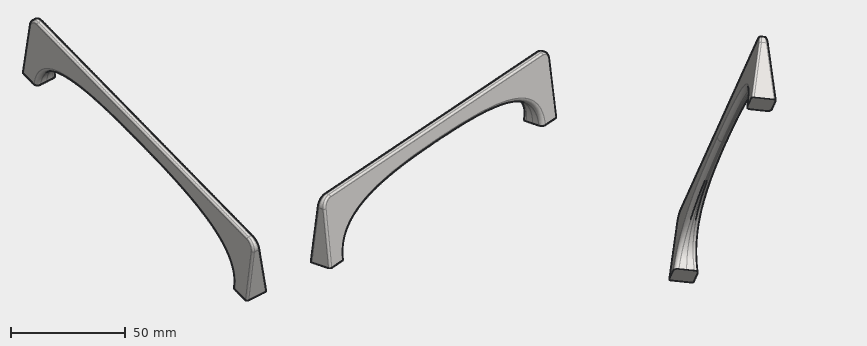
import cadquery as cq
import math

LENGTH = 170.0
HEIGHT = 33.0
BASE_WIDTH = 11.0
TOP_WIDTH = 3.0
END_DRAFT_DEGREES = 1.0

FOOT_LENGTH = 11.0
BAR_DEPTH = 9.0
ARCH_SIDE_PULL = 20.5
ARCH_CROWN_PULL = 43.5

CORNER_RADIUS = 5.0
OUTER_EDGE_RADIUS = 1.0
ARCH_EDGE_RADIUS = 2.0

MARGIN = 1.0

HALF_LENGTH = LENGTH / 2
TOP_HALF_LENGTH = HALF_LENGTH - HEIGHT * math.tan(math.radians(END_DRAFT_DEGREES))
ARCH_HALF_SPAN = HALF_LENGTH - FOOT_LENGTH
ARCH_HEIGHT = HEIGHT - BAR_DEPTH


def trapezoid_prism(plane, base_width, top_width, half_depth):
    """Symmetric trapezoid of the part's height, extruded both ways from the plane."""
    return (
        cq.Workplane(plane)
        .moveTo(-base_width / 2, 0)
        .lineTo(base_width / 2, 0)
        .lineTo(top_width / 2, HEIGHT)
        .lineTo(-top_width / 2, HEIGHT)
        .close()
        .extrude(half_depth, both=True)
    )


def tapered_blade():
    """Solid bar that narrows from base to top across its width and, slightly, its length."""
    cross_section = trapezoid_prism("YZ", BASE_WIDTH, TOP_WIDTH, HALF_LENGTH)
    side_profile = trapezoid_prism("XZ", LENGTH, 2 * TOP_HALF_LENGTH, BASE_WIDTH)
    return cross_section.intersect(side_profile)


def arch_cutter():
    """Flattened arch: upright at both feet, level at the crown."""
    left_half = [
        (-ARCH_HALF_SPAN, 0),
        (-ARCH_HALF_SPAN, ARCH_SIDE_PULL),
        (-ARCH_CROWN_PULL, ARCH_HEIGHT),
        (0, ARCH_HEIGHT),
    ]
    right_half = [(-x, z) for x, z in reversed(left_half)]
    return (
        cq.Workplane("XZ")
        .moveTo(*left_half[0])
        .bezier(left_half)
        .bezier(right_half)
        .close()
        .extrude(BASE_WIDTH, both=True)
    )


def rim_edges(body, half_span, top):
    """Edges centred within half_span of X = 0, above the base and below top, except those along Y."""
    region = cq.selectors.BoxSelector(
        (-half_span, -BASE_WIDTH, MARGIN),
        (half_span, BASE_WIDTH, top + MARGIN),
    )
    return body.edges(region).edges("not |Y")


def round_outer_edges(body):
    """Round the two top corners, then the outer rim of both wide faces."""
    body = body.edges("|Y").edges(">Z").fillet(CORNER_RADIUS)
    return rim_edges(body, HALF_LENGTH + MARGIN, HEIGHT).fillet(OUTER_EDGE_RADIUS)


def cut_arch(body):
    """Cut the arch and round its rim on both wide faces."""
    body = body.cut(arch_cutter())
    return rim_edges(body, ARCH_HALF_SPAN, ARCH_HEIGHT).fillet(ARCH_EDGE_RADIUS)


result = cut_arch(round_outer_edges(tapered_blade()))